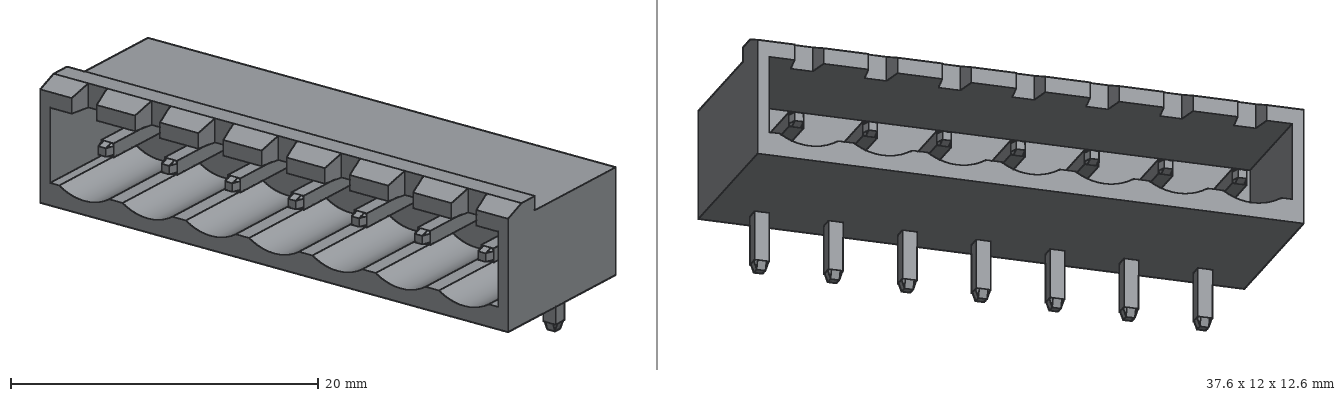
import cadquery as cq
import math


pin_count = 7
pitch = 5.08
pin_width = 1.0
pin_tip_width = 0.6
pin_taper_length = 0.6
tail_length = 4.0
tail_setback = 10.0
contact_height = 3.8
contact_setback = 2.0

end_margin = 3.54
length = (pin_count - 1) * pitch + 2 * end_margin
depth = 12.0
height = 8.6
rear_step = 1.0
rim_depth = 3.0
chamfer_depth = 1.5
chamfer_drop = 0.6

end_wall = 0.8
roof_thickness = 1.7
floor_thickness = 1.6
cavity_depth = 8.5
scallop_half_width = 2.0
scallop_depth = 0.6

slot_front_width = 2.0
slot_rear_width = 1.5
slot_depth = chamfer_depth

front_y = -depth / 2
pin_positions = [(i - (pin_count - 1) / 2) * pitch for i in range(pin_count)]


def make_housing():
    """Side profile with a raised, chamfered front rim, swept along X."""
    rear_y = depth / 2
    rear_height = height - rear_step
    profile = [
        (front_y, 0),
        (rear_y, 0),
        (rear_y, rear_height),
        (front_y + rim_depth, rear_height),
        (front_y + rim_depth, height),
        (front_y + chamfer_depth, height),
        (front_y, height - chamfer_drop),
    ]
    return cq.Workplane("YZ").polyline(profile).close().extrude(length / 2, both=True)


def make_cavity():
    """Front opening whose floor dips in a shallow arc under each contact."""
    half_length = length / 2 - end_wall
    roof_z = height - roof_thickness
    outline = cq.Workplane("XZ", origin=(0, front_y, 0))
    outline = outline.moveTo(-half_length, roof_z).lineTo(-half_length, floor_thickness)
    for x in pin_positions:
        outline = outline.lineTo(x - scallop_half_width, floor_thickness).threePointArc(
            (x, floor_thickness - scallop_depth),
            (x + scallop_half_width, floor_thickness),
        )
    outline = outline.lineTo(half_length, floor_thickness).lineTo(half_length, roof_z)
    return outline.close().extrude(-cavity_depth)


def make_slot(x):
    """Keying slot through the roof, widening toward the front."""
    outline = [
        (x - slot_front_width / 2, front_y),
        (x + slot_front_width / 2, front_y),
        (x + slot_rear_width / 2, front_y + slot_depth),
        (x - slot_rear_width / 2, front_y + slot_depth),
    ]
    base_z = height - roof_thickness
    return cq.Workplane("XY", origin=(0, 0, base_z)).polyline(outline).close().extrude(roof_thickness)


def make_bar(tip, direction, bar_length):
    """Square bar running from a tapered tip along the given direction."""
    plane = cq.Plane(origin=tip, xDir=(1, 0, 0), normal=direction)
    taper_angle = math.degrees(math.atan((pin_width - pin_tip_width) / 2 / pin_taper_length))
    taper = cq.Workplane(plane).rect(pin_tip_width, pin_tip_width).extrude(
        pin_taper_length, taper=-taper_angle
    )
    shank = cq.Workplane(plane).workplane(offset=pin_taper_length).rect(pin_width, pin_width)
    return taper.union(shank.extrude(bar_length - pin_taper_length))


def make_pin(x):
    """Right-angle pin: a contact along Y joined to a tail along Z."""
    tail_y = front_y + tail_setback
    contact_length = tail_setback - contact_setback
    contact = make_bar((x, front_y + contact_setback, contact_height), (0, 1, 0), contact_length)
    tail = make_bar((x, tail_y, -tail_length), (0, 0, 1), tail_length + contact_height)
    return contact.union(tail)


result = make_housing().cut(make_cavity())
for pin_x in pin_positions:
    result = result.cut(make_slot(pin_x))
for pin_x in pin_positions:
    result = result.union(make_pin(pin_x))